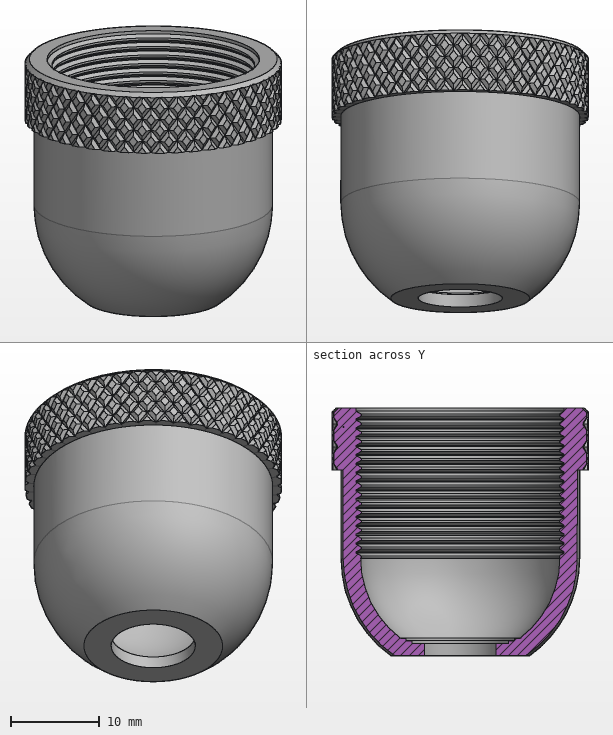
import cadquery as cq
import math

knurl_diameter = 29.0
height = 28.0
body_diameter = 27.0
collar_bottom = 21.0
rim_chamfer = 0.5
dome_base = 11.0

thread_major_diameter = 24.0
thread_minor_diameter = 22.9
thread_ridges = 17
crest_share = 0.25
root_share = 0.125
first_crest_depth = 0.8

cavity_diameter = 23.03
nose_floor = 2.0
step_depth = 0.3
outer_step_diameter = 13.2
inner_step_diameter = 11.95
nose_hole_diameter = 9.5

groove_count = 45
knurl_rows = 2.5
groove_width = 0.78
groove_depth = 0.38
root_diameter = 26.1
clearance = 0.3

knurl_radius = knurl_diameter / 2
body_radius = body_diameter / 2
major_radius = thread_major_diameter / 2
cavity_radius = cavity_diameter / 2
minor_radius = thread_minor_diameter / 2
collar_top = height - rim_chamfer
collar_height = collar_top - collar_bottom
thread_pitch = (height - dome_base) / thread_ridges
crest_half = thread_pitch * crest_share / 2
flank_height = thread_pitch * (1 - crest_share - root_share) / 2
flank_slope = (major_radius - minor_radius) / flank_height
valley_radius = knurl_radius - groove_depth
groove_spacing = 360 / groove_count
collar_twist = groove_spacing * knurl_rows
front = -90


def cylinder(diameter, z_low, z_high):
    return cq.Workplane("XY", origin=(0, 0, z_low)).circle(diameter / 2).extrude(z_high - z_low)


def polar(radius, angle):
    return (radius * math.cos(math.radians(angle)), radius * math.sin(math.radians(angle)))


def arc_middle(radius, low_z):
    """Point halfway along a dome arc centred at the dome base, from low_z up to the dome base."""
    angle = math.asin((dome_base - low_z) / radius) / 2
    return (radius * math.cos(angle), dome_base - radius * math.sin(angle))


def half_section():
    """Empty radius and height sketch on the -X side of the axis, starting at the bottom centre."""
    return cq.Workplane(cq.Plane(origin=(0, 0, 0), xDir=(-1, 0, 0), normal=(0, 1, 0))).moveTo(0, 0)


def turn(section):
    return section.close().revolve(360, (0, 0, 0), (0, 1, 0))


def make_outside():
    """Domed body with the chamfered rim that overhangs the collar."""
    nose_radius = math.sqrt(body_radius**2 - dome_base**2)
    return turn(
        half_section()
        .lineTo(nose_radius, 0)
        .threePointArc(arc_middle(body_radius, 0), (body_radius, dome_base))
        .lineTo(body_radius, collar_top)
        .lineTo(knurl_radius, collar_top)
        .lineTo(knurl_radius - rim_chamfer, height)
        .lineTo(0, height)
    )


def make_bore():
    """Nose hole, two floor steps, spherical end and the ring grooves of the thread."""
    floor_radius = math.sqrt(cavity_radius**2 - (dome_base - nose_floor) ** 2)
    section = (
        half_section()
        .lineTo(nose_hole_diameter / 2, 0)
        .lineTo(nose_hole_diameter / 2, nose_floor - 2 * step_depth)
        .lineTo(inner_step_diameter / 2, nose_floor - 2 * step_depth)
        .lineTo(inner_step_diameter / 2, nose_floor - step_depth)
        .lineTo(outer_step_diameter / 2, nose_floor - step_depth)
        .lineTo(outer_step_diameter / 2, nose_floor)
        .lineTo(floor_radius, nose_floor)
        .threePointArc(arc_middle(cavity_radius, nose_floor), (cavity_radius, dome_base))
    )
    lowest_crest = height - first_crest_depth - (thread_ridges - 1) * thread_pitch
    start_radius = minor_radius + (lowest_crest - crest_half - dome_base) * flank_slope
    section = section.lineTo(start_radius, dome_base)
    for index in range(thread_ridges):
        crest = lowest_crest + index * thread_pitch
        if index > 0:
            section = section.lineTo(major_radius, crest - crest_half - flank_height)
        section = (
            section
            .lineTo(minor_radius, crest - crest_half)
            .lineTo(minor_radius, crest + crest_half)
            .lineTo(major_radius, crest + crest_half + flank_height)
        )
    return turn(section.lineTo(major_radius, height).lineTo(0, height))


def make_ridge():
    """One twisted ridge of the collar, from valley to valley, cut into a column of diamonds."""
    lead_angle = math.atan(collar_height / (knurl_radius * math.radians(collar_twist)))
    reach = 1 + clearance / groove_depth
    half_groove = math.degrees(reach * groove_width / 2 / math.sin(lead_angle) / knurl_radius)
    half_ridge = groove_spacing / 2
    outer_radius = knurl_radius + clearance
    ridge_profile = [
        polar(root_diameter / 2, front - half_ridge),
        polar(valley_radius, front - half_ridge),
        polar(outer_radius, front - half_ridge + half_groove),
        polar(outer_radius, front + half_ridge - half_groove),
        polar(valley_radius, front + half_ridge),
        polar(root_diameter / 2, front + half_ridge),
    ]
    ridge = (
        cq.Workplane("XY")
        .polyline(ridge_profile)
        .close()
        .twistExtrude(collar_height, collar_twist)
        .intersect(cylinder(knurl_diameter, 0, collar_height))
    )
    lead_in = clearance * collar_twist / collar_height
    crossing_count = math.ceil(2 * knurl_rows) + 2
    for index in range(crossing_count):
        groove_angle = front + (index - 0.5) * groove_spacing + lead_in
        groove_profile = [
            polar(valley_radius, groove_angle),
            polar(outer_radius, groove_angle + half_groove),
            polar(outer_radius, groove_angle - half_groove),
        ]
        groove = (
            cq.Workplane("XY", origin=(0, 0, -clearance))
            .polyline(groove_profile)
            .close()
            .twistExtrude(collar_height + 2 * clearance, -collar_twist - 2 * lead_in)
        )
        ridge = ridge.cut(groove)
    return ridge.translate((0, 0, collar_bottom)).val()


def is_ridge_side(face):
    """True for the walls under the valleys, where neighbouring ridges touch."""
    full_height = face.BoundingBox().zlen > 0.9 * collar_height
    center = face.Center()
    return full_height and math.hypot(center.x, center.y) > root_diameter / 2


def make_collar():
    """Knurled ring, closed from the outer faces of all the ridges."""
    ridge_faces = [face for face in make_ridge().Faces() if not is_ridge_side(face)]
    axis_start = cq.Vector(0, 0, 0)
    axis_end = cq.Vector(0, 0, 1)
    collar_faces = []
    for index in range(groove_count):
        for face in ridge_faces:
            collar_faces.append(face.rotate(axis_start, axis_end, index * groove_spacing))
    return cq.Workplane(cq.Solid.makeSolid(cq.Shell.makeShell(collar_faces)))


result = make_outside().union(make_collar(), clean=False).cut(make_bore(), clean=False)